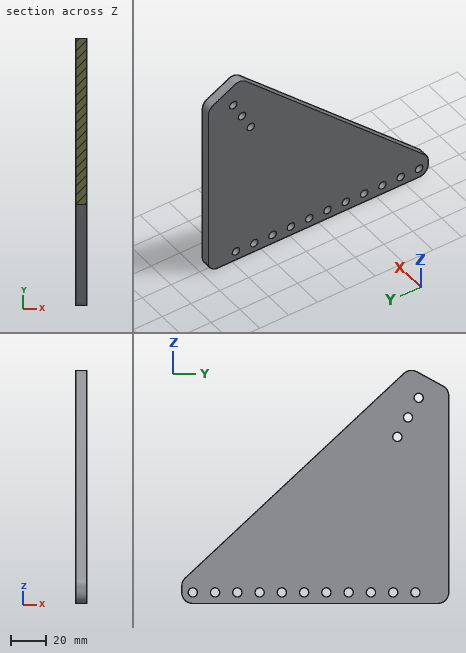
import math

import cadquery as cq

THICKNESS = 6.35
LENGTH = 152.4
HEIGHT = 133.05
CORNER_RADIUS = 6.35

TOP_EDGE_ANGLE = 28.6
SLOPE_ANGLE = 43.1
SLOPE_START_HEIGHT = 12.7

HOLE_DIAMETER = 5.11
HOLE_PITCH = 12.7
BASE_HOLE_COUNT = 11
BASE_HOLE_INSET = 6.35
TOP_HOLE_COUNT = 3
TOP_HOLE_FROM_BACK = 17.2
TOP_HOLE_HEIGHT = 117.35

slope = math.radians(SLOPE_ANGLE)
top_tilt = math.radians(TOP_EDGE_ANGLE)
peak_center_z = HEIGHT - CORNER_RADIUS
peak_center_y = (
    peak_center_z - SLOPE_START_HEIGHT + CORNER_RADIUS / math.cos(slope)
) / math.tan(slope)

top_edge_z_at_center = peak_center_z + CORNER_RADIUS / math.cos(top_tilt)
slope_z_at_center = peak_center_z + CORNER_RADIUS / math.cos(slope)
peak_shift = (top_edge_z_at_center - slope_z_at_center) / (math.tan(slope) + math.tan(top_tilt))
peak_y = peak_center_y + peak_shift
peak_z = slope_z_at_center + peak_shift * math.tan(slope)
back_corner_z = peak_z - (LENGTH - peak_y) * math.tan(top_tilt)


def make_plate():
    """Five-sided plate with every corner rounded to the same radius."""
    corners = [
        (0, 0),
        (LENGTH, 0),
        (LENGTH, back_corner_z),
        (peak_y, peak_z),
        (0, SLOPE_START_HEIGHT),
    ]
    plate = cq.Workplane("YZ").polyline(corners).close().extrude(THICKNESS)
    return plate.edges("|X").fillet(CORNER_RADIUS)


def base_hole_centers():
    """Row along the bottom edge, starting at the front corner."""
    return [(BASE_HOLE_INSET + i * HOLE_PITCH, BASE_HOLE_INSET) for i in range(BASE_HOLE_COUNT)]


def top_hole_centers():
    """Row running down from the top edge, square to it."""
    step_y = HOLE_PITCH * math.sin(top_tilt)
    step_z = HOLE_PITCH * math.cos(top_tilt)
    start_y = LENGTH - TOP_HOLE_FROM_BACK
    return [(start_y - i * step_y, TOP_HOLE_HEIGHT - i * step_z) for i in range(TOP_HOLE_COUNT)]


def make_holes():
    """Cylinders through the full thickness, one for each hole."""
    centers = base_hole_centers() + top_hole_centers()
    return cq.Workplane("YZ").pushPoints(centers).circle(HOLE_DIAMETER / 2).extrude(THICKNESS)


result = make_plate().cut(make_holes())